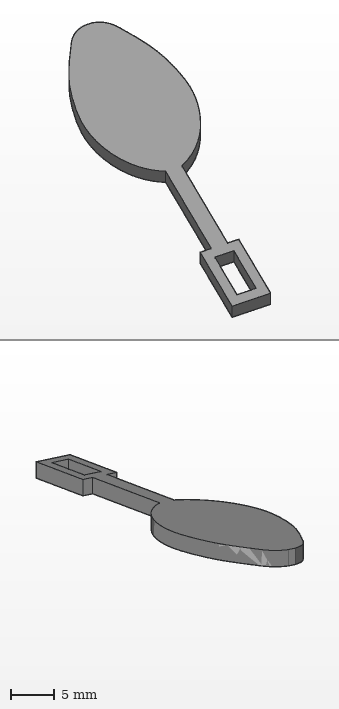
import cadquery as cq

LENGTH = 46.35
THICKNESS = 2.0
BLADE_HALF_WIDTH = 6.85

EYE_LENGTH = 9.1
EYE_WIDTH = 4.9
WINDOW_LENGTH = 6.3
WINDOW_WIDTH = 2.4

STEM_WIDTH = 2.1
STEM_START = 24.3
EYE_START = LENGTH - EYE_LENGTH
EYE_CENTER = LENGTH - EYE_LENGTH / 2

BLADE_WIDEST_X = 13.68
TIP_FLAT_WIDTH = 0.97
TIP_CORNER = (0, TIP_FLAT_WIDTH / 2)
TIP_SHOULDER = [(1.25, 2.6), (2.5, 3.4)]
TAPERED_FLANK = [(6.7, 5.45), (10.9, 6.6)]
WIDEST = (BLADE_WIDEST_X, BLADE_HALF_WIDTH)
REAR_FLANK = [(19.3, 5.65), (21.8, 4.13)]
STEM_JOINT = (STEM_START, STEM_WIDTH / 2)


def make_blade():
    """Leaf-shaped plate with a small flat at the tip and mirrored curved flanks."""
    upper_edge = [TIP_CORNER] + TIP_SHOULDER + TAPERED_FLANK + [WIDEST] + REAR_FLANK + [STEM_JOINT]
    lower_edge = [(x, -y) for x, y in upper_edge]
    profile = (
        cq.Workplane("XY")
        .moveTo(*STEM_JOINT)
        .spline(upper_edge[-2::-1], includeCurrent=True)
        .lineTo(*lower_edge[0])
        .spline(lower_edge[1:], includeCurrent=True)
        .close()
    )
    return profile.extrude(THICKNESS)


def make_bar(start, end, width):
    """Plain bar centred on the X axis, resting on the XY plane."""
    bar = cq.Workplane("XY").box(end - start, width, THICKNESS, centered=(False, True, False))
    return bar.translate((start, 0, 0))


stem = make_bar(STEM_START, EYE_START, STEM_WIDTH)
eye = make_bar(EYE_START, LENGTH, EYE_WIDTH)
window = make_bar(EYE_CENTER - WINDOW_LENGTH / 2, EYE_CENTER + WINDOW_LENGTH / 2, WINDOW_WIDTH)

result = make_blade().union(stem).union(eye).cut(window)